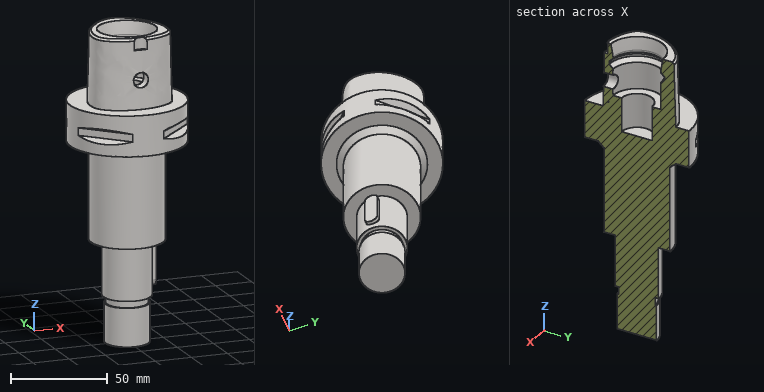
import cadquery as cq
import math


TAPER_HEIGHT = 38.0
BASE_RADIUS = 22.0
LOBE_HEIGHT = 1.5
TAPER_SLOPE = 1 / 40
RIM_CHAMFER = 1.2
OUTLINE_POINTS = 48

FLANGE_RADIUS = 31.5
FLANGE_BOTTOM = -22.0
CONE_RADIUS = 23.5
CONE_BOTTOM = -25.0
BODY_RADIUS = 20.0
BODY_BOTTOM = -75.0
SHAFT_RADIUS = 13.1
SHAFT_BOTTOM = -105.0
RELIEF_RADIUS = 11.1
RELIEF_BOTTOM = -109.0
TAIL_RADIUS = 12.0
TAIL_BOTTOM = TAPER_HEIGHT - 168

MOUTH_RADIUS = 15.6
BORE_RADIUS = 14.3
MOUTH_DEPTH = 7.0
LIP_DEPTH = 8.4
GROOVE_FLANK = 2.4
GROOVE_END_DEPTH = 14.5
BORE_DEPTH = 30.0
HOLE_RADIUS = 9.0
HOLE_DEPTH = 50.0

NOTCH_RADIUS = 4.7
NOTCH_DEPTH = 6.2
NOTCH_INNER_Y = -17.8
SIDE_HOLE_RADIUS = 4.0
SIDE_HOLE_LEVEL = 15.6

SLOT_COUNT = 4
SLOT_LEVEL = -12.0
SLOT_FLOOR_WIDTH = 4.0
SLOT_FLOOR_DISTANCE = 27.5
SLOT_FLANK_SLOPE = 0.5

KEY_WIDTH = 7.0
KEY_TOP = -76.0
KEY_LENGTH = 25.0
KEY_OUTER_X = 15.0
KEY_INNER_X = 8.4


def lobed_outline(mean_radius, level):
    """Closed three-lobed curve with one lobe on +Y; outlines of different mean radius are parallel."""

    def point(t):
        angle = 2 * math.pi * t / OUTLINE_POINTS
        support = mean_radius - LOBE_HEIGHT * math.sin(3 * angle)
        slope = -3 * LOBE_HEIGHT * math.cos(3 * angle)
        x = support * math.cos(angle) - slope * math.sin(angle)
        y = support * math.sin(angle) + slope * math.cos(angle)
        return cq.Vector(x, y, level)

    edge = cq.Edge.makeSpline([point(i) for i in range(OUTLINE_POINTS)], periodic=True)
    return cq.Wire.assembleEdges([edge])


def make_taper():
    chamfer_level = TAPER_HEIGHT - RIM_CHAMFER
    chamfer_radius = BASE_RADIUS - chamfer_level * TAPER_SLOPE
    base = lobed_outline(BASE_RADIUS, 0)
    shoulder = lobed_outline(chamfer_radius, chamfer_level)
    rim = lobed_outline(chamfer_radius - RIM_CHAMFER, TAPER_HEIGHT)
    cone = cq.Solid.makeLoft([base, shoulder], True)
    chamfer = cq.Solid.makeLoft([shoulder, rim], True)
    return cq.Workplane(cone).union(cq.Workplane(chamfer))


def revolve_profile(points):
    """Revolve a closed (radius, level) outline about Z."""
    return cq.Workplane("XZ").polyline(points).close().revolve(360, (0, 0, 0), (0, 1, 0))


def make_arbor():
    return revolve_profile([
        (0, 0),
        (FLANGE_RADIUS, 0),
        (FLANGE_RADIUS, FLANGE_BOTTOM),
        (CONE_RADIUS, FLANGE_BOTTOM),
        (BODY_RADIUS, CONE_BOTTOM),
        (BODY_RADIUS, BODY_BOTTOM),
        (SHAFT_RADIUS, BODY_BOTTOM),
        (SHAFT_RADIUS, SHAFT_BOTTOM),
        (RELIEF_RADIUS, SHAFT_BOTTOM),
        (RELIEF_RADIUS, RELIEF_BOTTOM),
        (TAIL_RADIUS, RELIEF_BOTTOM),
        (TAIL_RADIUS, TAIL_BOTTOM),
        (0, TAIL_BOTTOM),
    ])


def make_bore():
    groove_radius = BORE_RADIUS + GROOVE_FLANK
    return revolve_profile([
        (0, TAPER_HEIGHT),
        (MOUTH_RADIUS, TAPER_HEIGHT),
        (BORE_RADIUS, TAPER_HEIGHT - MOUTH_DEPTH),
        (BORE_RADIUS, TAPER_HEIGHT - LIP_DEPTH),
        (groove_radius, TAPER_HEIGHT - LIP_DEPTH - GROOVE_FLANK),
        (groove_radius, TAPER_HEIGHT - GROOVE_END_DEPTH + GROOVE_FLANK),
        (BORE_RADIUS, TAPER_HEIGHT - GROOVE_END_DEPTH),
        (BORE_RADIUS, TAPER_HEIGHT - BORE_DEPTH),
        (HOLE_RADIUS, TAPER_HEIGHT - BORE_DEPTH),
        (HOLE_RADIUS, TAPER_HEIGHT - HOLE_DEPTH),
        (0, TAPER_HEIGHT - HOLE_DEPTH),
    ])


def make_rim_notch():
    """Vertical cylindrical scallop sunk into the rim."""
    return (
        cq.Workplane("XY", origin=(0, NOTCH_INNER_Y - NOTCH_RADIUS, TAPER_HEIGHT - NOTCH_DEPTH))
        .circle(NOTCH_RADIUS)
        .extrude(NOTCH_DEPTH)
    )


def make_side_hole():
    """Radial hole from the -Y side of the taper into the bore."""
    return cq.Workplane("XZ").center(0, SIDE_HOLE_LEVEL).circle(SIDE_HOLE_RADIUS).extrude(FLANGE_RADIUS)


def make_gripper_slots():
    """Straight slots with a flat floor and flared flanks, tangential to the flange."""
    inner = SLOT_FLOOR_WIDTH / 2
    outer = inner + (FLANGE_RADIUS - SLOT_FLOOR_DISTANCE) * SLOT_FLANK_SLOPE
    slot = (
        cq.Workplane("XZ")
        .polyline([
            (SLOT_FLOOR_DISTANCE, SLOT_LEVEL - inner),
            (FLANGE_RADIUS, SLOT_LEVEL - outer),
            (FLANGE_RADIUS, SLOT_LEVEL + outer),
            (SLOT_FLOOR_DISTANCE, SLOT_LEVEL + inner),
        ])
        .close()
        .extrude(FLANGE_RADIUS, both=True)
    )
    pitch = 360 / SLOT_COUNT
    slots = cq.Workplane("XY")
    for i in range(SLOT_COUNT):
        slots = slots.add(slot.rotate((0, 0, 0), (0, 0, 1), (i + 0.5) * pitch))
    return slots.combine()


def make_key():
    """Round-ended key standing out of the shaft."""
    return (
        cq.Workplane("YZ", origin=(KEY_INNER_X, 0, KEY_TOP - KEY_LENGTH / 2))
        .slot2D(KEY_LENGTH, KEY_WIDTH, 90)
        .extrude(KEY_OUTER_X - KEY_INNER_X)
    )


result = (
    make_arbor()
    .union(make_taper())
    .union(make_key())
    .cut(make_bore())
    .cut(make_rim_notch())
    .cut(make_side_hole())
    .cut(make_gripper_slots())
)